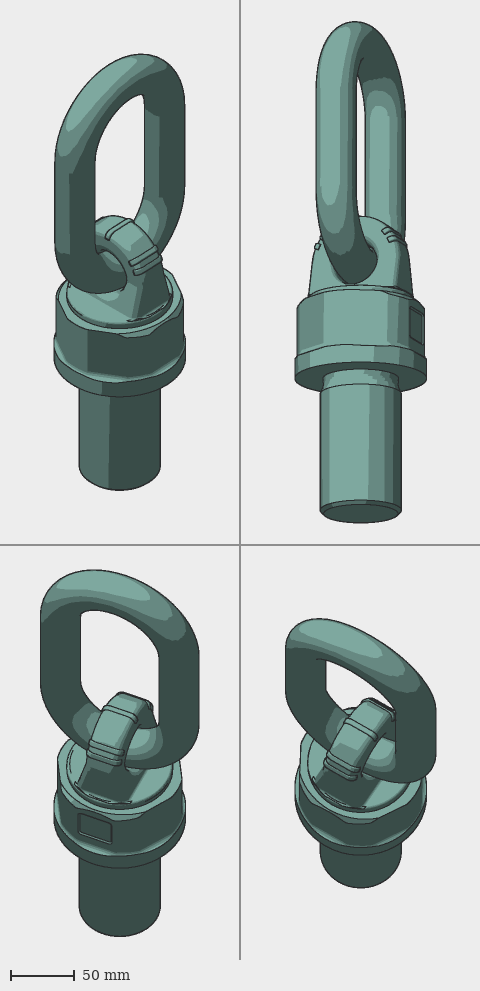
import cadquery as cq
import math

TOTAL_HEIGHT = 397.7
RING_WIDTH = 134.0
WIRE_DIAMETER = 32.0
RING_STRAIGHT = 80.0
bend_radius = (RING_WIDTH - WIRE_DIAMETER) / 2
ring_top_bend_z = TOTAL_HEIGHT - RING_WIDTH / 2
ring_bottom_bend_z = ring_top_bend_z - RING_STRAIGHT

STUD_DIAMETER = 64.0
STUD_TIP_CHAMFER = 2.8
STUD_SHOULDER_Z = 97.0
SHOULDER_TOP_Z = 102.0
UNDERCUT_Z = 105.0
UNDERCUT_WIDTH = 1.0
UNDERCUT_RADIUS = 29.5
NECK_RADIUS = 30.0
FLANGE_BOTTOM_Z = 109.8
FLANGE_TOP_Z = 123.3
FLANGE_DIAMETER = 104.0
HEX_TOP_Z = 169.5
HEX_SIDES = 6
HEX_APOTHEM = 47.7
HEX_CORNER_DIAMETER = 100.5
HEX_EDGE_BLEND = 9.5
FLANGE_FILLET = 4.8
EDGE_MARGIN = 0.5
CROWN_HALF_X = 46.5
CROWN_HEIGHT = 8.0
CROWN_SLOPE = 40.0
stud_radius = STUD_DIAMETER / 2
flange_radius = FLANGE_DIAMETER / 2
hex_corner_radius = HEX_CORNER_DIAMETER / 2
hex_half_angle = 180 / HEX_SIDES

PANEL_WIDTH = 29.5
PANEL_HEIGHT = 25.5
PANEL_CENTRE_Z = 148.0
PANEL_CORNER = 3.0
PANEL_DEPTH = 1.0
PANEL_DRAFT = 45.0

DISC_RADIUS = 41.8
DISC_TOP_Z = 175.5
DISC_EDGE_FILLET = 2.5
EYE_RADIUS = 37.8
EYE_CENTRE_Z = 201.5
EYE_HALF_THICKNESS = 14.5
FOOT_TAPER = 15.0
CREASE_TOP_Z = 207.2
CREASE_RADIUS = 18.0
FOOT_FILLET = 2.8
FOOT_LIMIT_RADIUS = 41.5
EYE_EDGE_FILLET = 6.8
HOLE_DIAMETER = 35.5
HOLE_CENTRE_Z = 200.5
HOLE_FILLET = 7.0
hole_radius = HOLE_DIAMETER / 2
eye_top_z = EYE_CENTRE_Z + EYE_RADIUS
taper_angle = math.radians(FOOT_TAPER)
crease_z = CREASE_TOP_Z - CREASE_RADIUS * math.sin(taper_angle)
crease_half_thickness = EYE_HALF_THICKNESS + CREASE_RADIUS * (1 - math.cos(taper_angle))
foot_half_thickness = crease_half_thickness + (crease_z - DISC_TOP_Z) * math.tan(taper_angle)

BEAD_ANGLES = (26.0, 40.0, 90.0, 140.0, 154.0)
BEAD_WIDTH = 4.8
BEAD_DEPTH = 6.0
BEAD_RISE = 0.6
BEAD_ROUNDING = 1.0
BEAD_CORNER_FILLET = 5.5


def make_ring():
    path = (
        cq.Workplane("YZ")
        .moveTo(bend_radius, ring_bottom_bend_z)
        .lineTo(bend_radius, ring_top_bend_z)
        .threePointArc((0, ring_top_bend_z + bend_radius), (-bend_radius, ring_top_bend_z))
        .lineTo(-bend_radius, ring_bottom_bend_z)
        .threePointArc((0, ring_bottom_bend_z - bend_radius), (bend_radius, ring_bottom_bend_z))
        .close()
    )
    wire_section = (
        cq.Workplane("XY", origin=(0, bend_radius, ring_bottom_bend_z)).circle(WIRE_DIAMETER / 2)
    )
    return wire_section.sweep(path)


def make_stud():
    return (
        cq.Workplane("XZ")
        .polyline([
            (0, 0),
            (stud_radius - STUD_TIP_CHAMFER, 0),
            (stud_radius, STUD_TIP_CHAMFER),
            (stud_radius, STUD_SHOULDER_Z),
            (NECK_RADIUS, SHOULDER_TOP_Z),
            (UNDERCUT_RADIUS, UNDERCUT_Z - UNDERCUT_WIDTH / 2),
            (UNDERCUT_RADIUS, UNDERCUT_Z + UNDERCUT_WIDTH / 2),
            (NECK_RADIUS, FLANGE_BOTTOM_Z),
            (0, FLANGE_BOTTOM_Z),
        ])
        .close()
        .revolve(360, (0, 0, 0), (0, 1, 0))
    )


def make_hexagon():
    height = HEX_TOP_Z - FLANGE_BOTTOM_Z
    base = cq.Workplane("XY", origin=(0, 0, FLANGE_BOTTOM_Z))
    corner_diameter = 2 * HEX_APOTHEM / math.cos(math.radians(hex_half_angle))
    hexagon = base.polygon(HEX_SIDES, corner_diameter).extrude(height)
    hexagon = hexagon.rotate((0, 0, 0), (0, 0, 1), hex_half_angle)
    hexagon = hexagon.intersect(base.circle(hex_corner_radius).extrude(height))
    return hexagon.edges("|Z").fillet(HEX_EDGE_BLEND)


def make_crown_cutter():
    """Everything outside a cone-like bevel around the top of the hexagon."""
    block_side = 4 * HEX_APOTHEM
    block = (
        cq.Workplane("XY", origin=(0, 0, HEX_TOP_Z))
        .rect(block_side, block_side)
        .extrude(-CROWN_HEIGHT)
    )
    crown = (
        cq.Workplane("XY", origin=(0, 0, HEX_TOP_Z))
        .ellipse(CROWN_HALF_X, hex_corner_radius)
        .extrude(-CROWN_HEIGHT, taper=-CROWN_SLOPE)
    )
    return block.cut(crown)


def make_panel_recess():
    return (
        cq.Workplane("YZ", origin=(-HEX_APOTHEM, 0, PANEL_CENTRE_Z))
        .sketch()
        .rect(PANEL_WIDTH, PANEL_HEIGHT)
        .vertices()
        .fillet(PANEL_CORNER)
        .finalize()
        .extrude(PANEL_DEPTH, taper=PANEL_DRAFT)
    )


def make_threaded_body():
    base = cq.Workplane("XY", origin=(0, 0, FLANGE_BOTTOM_Z))
    oversize_radius = flange_radius + 2 * FLANGE_FILLET
    oversize_disc = base.circle(oversize_radius).extrude(FLANGE_TOP_Z - FLANGE_BOTTOM_Z)
    head = oversize_disc.union(make_hexagon())
    foot_edges = cq.selectors.BoxSelector(
        (-flange_radius, -flange_radius, FLANGE_TOP_Z - EDGE_MARGIN),
        (flange_radius, flange_radius, FLANGE_TOP_Z + EDGE_MARGIN),
        boundingbox=True,
    )
    head = head.edges(foot_edges).fillet(FLANGE_FILLET)
    head = head.intersect(base.circle(flange_radius).extrude(HEX_TOP_Z - FLANGE_BOTTOM_Z))
    head = head.cut(make_crown_cutter()).cut(make_panel_recess())
    return head.union(make_stud())


def make_bead(angle):
    bead = (
        cq.Workplane("XY")
        .box(BEAD_DEPTH, 2 * (EYE_HALF_THICKNESS + BEAD_RISE), BEAD_WIDTH)
        .edges(">X and |Z")
        .fillet(BEAD_CORNER_FILLET)
        .faces("|Z")
        .edges("not <X")
        .fillet(BEAD_ROUNDING)
        .translate((EYE_RADIUS + BEAD_RISE - BEAD_DEPTH / 2, 0, 0))
    )
    return bead.rotate((0, 0, 0), (0, 1, 0), -angle).translate((0, 0, EYE_CENTRE_Z))


def make_eye():
    arch = (
        cq.Workplane("XZ")
        .moveTo(-EYE_RADIUS, DISC_TOP_Z)
        .lineTo(EYE_RADIUS, DISC_TOP_Z)
        .lineTo(EYE_RADIUS, EYE_CENTRE_Z)
        .threePointArc((0, eye_top_z), (-EYE_RADIUS, EYE_CENTRE_Z))
        .close()
        .extrude(foot_half_thickness, both=True)
    )
    side_outline = (
        cq.Workplane("YZ")
        .moveTo(-foot_half_thickness, DISC_TOP_Z)
        .lineTo(foot_half_thickness, DISC_TOP_Z)
        .lineTo(crease_half_thickness, crease_z)
        .radiusArc((EYE_HALF_THICKNESS, CREASE_TOP_Z), CREASE_RADIUS)
        .lineTo(EYE_HALF_THICKNESS, eye_top_z)
        .lineTo(-EYE_HALF_THICKNESS, eye_top_z)
        .lineTo(-EYE_HALF_THICKNESS, CREASE_TOP_Z)
        .radiusArc((-crease_half_thickness, crease_z), CREASE_RADIUS)
        .close()
        .extrude(EYE_RADIUS, both=True)
    )
    eye = arch.intersect(side_outline)
    eye = eye.faces("|Y").edges("%CIRCLE").fillet(EYE_EDGE_FILLET)
    hole = (
        cq.Workplane("XZ", origin=(0, 0, HOLE_CENTRE_Z))
        .circle(hole_radius)
        .extrude(foot_half_thickness, both=True)
    )
    eye = eye.cut(hole)
    hole_reach = hole_radius + EDGE_MARGIN
    hole_edges = cq.selectors.BoxSelector(
        (-hole_reach, -foot_half_thickness, HOLE_CENTRE_Z - hole_reach),
        (hole_reach, foot_half_thickness, HOLE_CENTRE_Z + hole_reach),
        boundingbox=True,
    )
    return eye.edges(hole_edges).fillet(HOLE_FILLET)


def make_disc():
    return (
        cq.Workplane("XY", origin=(0, 0, HEX_TOP_Z))
        .circle(DISC_RADIUS)
        .extrude(DISC_TOP_Z - HEX_TOP_Z)
        .edges(">Z")
        .fillet(DISC_EDGE_FILLET)
    )


def add_foot_fillet(eye):
    """Fillet the foot on an oversize plate, then keep what stands on the disc."""
    plate_radius = 2 * DISC_RADIUS
    plate_base = cq.Workplane("XY", origin=(0, 0, HEX_TOP_Z))
    plate = plate_base.circle(plate_radius).extrude(DISC_TOP_Z - HEX_TOP_Z)
    foot_edges = cq.selectors.BoxSelector(
        (-DISC_RADIUS, -DISC_RADIUS, DISC_TOP_Z - EDGE_MARGIN),
        (DISC_RADIUS, DISC_RADIUS, DISC_TOP_Z + EDGE_MARGIN),
        boundingbox=True,
    )
    filleted = eye.union(plate).edges(foot_edges).fillet(FOOT_FILLET)
    kept_space = (
        cq.Workplane("XY", origin=(0, 0, DISC_TOP_Z))
        .circle(FOOT_LIMIT_RADIUS)
        .extrude(eye_top_z - DISC_TOP_Z)
    )
    return filleted.intersect(kept_space)


def make_swivel_eye():
    swivel_eye = add_foot_fillet(make_eye()).union(make_disc())
    for angle in BEAD_ANGLES:
        swivel_eye = swivel_eye.union(make_bead(angle))
    return swivel_eye


ring = make_ring()
threaded_body = make_threaded_body()
swivel_eye = make_swivel_eye()

result = cq.Compound.makeCompound([
    ring.val(),
    *threaded_body.solids().vals(),
    *swivel_eye.solids().vals(),
])